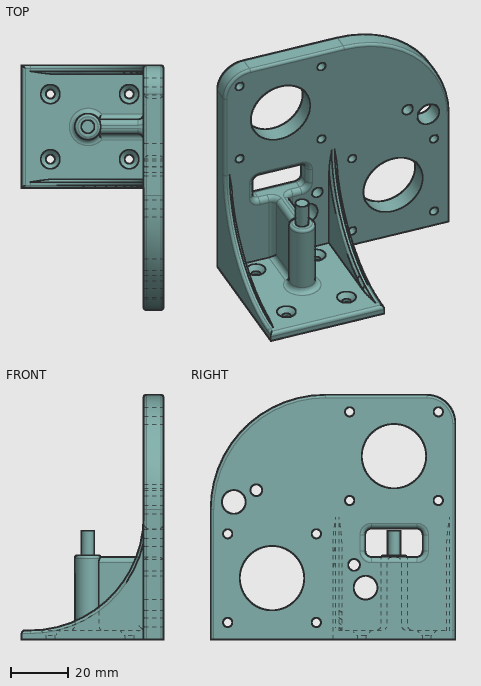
import cadquery as cq
import math


length = 49.5
plate_size = 85.4
plate_thickness = 7.0
small_corner_radius = 10.0
large_corner_radius = 40.0
edge_round = 1.0

foot_width = 42.9
foot_thickness = 3.25
foot_end_round = 1.3
foot_length = length - plate_thickness

gusset_thickness = 3.2
gusset_lip = 3.1
gusset_radius = foot_length - gusset_lip
gusset_overlap = 1.7

post_x = 23.15
post_diameter = 9.1
post_top = 29.5
pin_diameter = 4.6
pin_top = 38.0

web_thickness = 5.0
web_top = 28.9
blend_radius = 2.0

window_width = 19.9
window_height = 9.8
window_corner_radius = 2.05

bore_diameter = 22.4
bore_inset = 21.4
screw_diameter = 3.2
screw_half_pitch = 15.5
cable_hole_diameter = 8.2
cable_holes = [(-77.3, 48.0), (-31.3, 18.1)]
pilot_hole_diameter = 4.0
pilot_holes = [(-69.4, 52.1), (-35.35, 26.05)]

foot_screw_diameter = 3.1
countersink_diameter = 6.7
countersink_angle = 90
foot_screw_center_x = 23.8
foot_screw_pitch_x = 27.5
foot_screw_pitch_y = 22.7

selection_margin = 0.1

foot_center_y = -foot_width / 2
bore_centers = [
    (-bore_inset, plate_size - bore_inset),
    (bore_inset - plate_size, bore_inset),
]


def make_plate():
    """Upright plate with one small and one large upper corner."""
    small_shift = small_corner_radius * (1 - math.sqrt(0.5))
    large_shift = large_corner_radius * (1 - math.sqrt(0.5))
    plate = (
        cq.Workplane("YZ", origin=(foot_length, 0, 0))
        .moveTo(0, 0)
        .lineTo(0, plate_size - small_corner_radius)
        .threePointArc((-small_shift, plate_size - small_shift), (-small_corner_radius, plate_size))
        .lineTo(large_corner_radius - plate_size, plate_size)
        .threePointArc(
            (large_shift - plate_size, plate_size - large_shift),
            (-plate_size, plate_size - large_corner_radius),
        )
        .lineTo(-plate_size, 0)
        .close()
        .extrude(plate_thickness)
    )
    return plate.faces("<X or >X").edges("not(<Z)").fillet(edge_round)


def make_foot():
    """Flat foot; the gussets form its outer side edges."""
    inner_width = foot_width - 2 * edge_round
    foot = cq.Workplane("XY").box(
        foot_length + gusset_overlap, inner_width, foot_thickness, centered=(False, True, False)
    )
    return foot.translate((0, foot_center_y, 0))


def round_foot_end(body):
    """Round the upper edge of the free end across the foot and both gussets."""
    bend = foot_end_round * (1 - math.sqrt(0.5))
    corner = (
        cq.Workplane("XZ")
        .moveTo(0, foot_thickness - foot_end_round)
        .threePointArc((bend, foot_thickness - bend), (foot_end_round, foot_thickness))
        .lineTo(0, foot_thickness)
        .close()
        .extrude(foot_width)
    )
    return body.cut(corner)


def make_gusset(outer_y):
    """Concave gusset with both edges of its curved top rounded; outer_y is its +Y side."""
    center_z = foot_thickness + gusset_radius
    reach = gusset_radius * math.sqrt(0.5)
    gusset = (
        cq.Workplane("XZ", origin=(0, outer_y, 0))
        .lineTo(0, foot_thickness)
        .lineTo(gusset_lip, foot_thickness)
        .threePointArc((gusset_lip + reach, center_z - reach), (foot_length, center_z))
        .lineTo(foot_length + gusset_overlap, center_z)
        .lineTo(foot_length + gusset_overlap, 0)
        .close()
        .extrude(gusset_thickness)
    )
    return gusset.edges("%CIRCLE").fillet(edge_round)


def make_web():
    """Plain web from the post axis to the plate."""
    web = cq.Workplane("XY").box(
        foot_length - post_x, web_thickness, web_top, centered=(False, True, False)
    )
    return web.translate((post_x, foot_center_y, 0))


def make_web_flare():
    """Concave flare along both sides of the web where it meets the foot."""
    half = web_thickness / 2
    toe = half + blend_radius
    bend = blend_radius * (1 - math.sqrt(0.5))
    flare_top = foot_thickness + blend_radius
    return (
        cq.Workplane("YZ", origin=(post_x, foot_center_y, 0))
        .moveTo(-toe, foot_thickness)
        .threePointArc((-half - bend, foot_thickness + bend), (-half, flare_top))
        .lineTo(half, flare_top)
        .threePointArc((half + bend, foot_thickness + bend), (toe, foot_thickness))
        .close()
        .extrude(foot_length - post_x)
    )


def make_post():
    """Turned post with a flared base, rounded shoulder and a thinner pin."""
    radius = post_diameter / 2
    bend = blend_radius * (1 - math.sqrt(0.5))
    shoulder_bend = edge_round * (1 - math.sqrt(0.5))
    return (
        cq.Workplane("XZ", origin=(post_x, foot_center_y, 0))
        .lineTo(radius + blend_radius, 0)
        .lineTo(radius + blend_radius, foot_thickness)
        .threePointArc(
            (radius + bend, foot_thickness + bend), (radius, foot_thickness + blend_radius)
        )
        .lineTo(radius, post_top - edge_round)
        .threePointArc(
            (radius - shoulder_bend, post_top - shoulder_bend), (radius - edge_round, post_top)
        )
        .lineTo(pin_diameter / 2, post_top)
        .lineTo(pin_diameter / 2, pin_top)
        .lineTo(0, pin_top)
        .close()
        .revolve(360, (0, 0), (0, 1))
    )


def cut_window(body):
    """Cut the rounded window whose sill is level with the top of the web."""
    window = (
        cq.Workplane("XY")
        .box(plate_thickness, window_width, window_height, centered=(False, True, False))
        .edges("|X")
        .fillet(window_corner_radius)
        .translate((foot_length, foot_center_y, web_top))
    )
    body = body.cut(window)
    far_rim = cq.selectors.BoxSelector(
        (length - edge_round / 2, -foot_width, web_top - edge_round),
        (length + edge_round, 0, web_top + window_height + edge_round),
    )
    return body.edges("#X").edges(far_rim).fillet(blend_radius)


def blend_web(body):
    """Blend the web into the plate, then round the web top and window rim as one chain."""
    half_web = web_thickness / 2 + selection_margin
    corners = cq.selectors.BoxSelector(
        (foot_length - selection_margin, foot_center_y - half_web, 0),
        (foot_length + selection_margin, foot_center_y + half_web, web_top),
    )
    body = body.edges("|Z").edges(corners).fillet(blend_radius)
    rim_top = cq.selectors.BoxSelector(
        (foot_length - selection_margin, -foot_width, web_top + window_height - selection_margin),
        (foot_length + selection_margin, 0, web_top + window_height + selection_margin),
    )
    return body.edges("|Y").edges(rim_top).fillet(blend_radius)


def cut_plate_holes(body, centers, diameter):
    """Drill holes through the plate at (y, z) centers."""
    drills = (
        cq.Workplane("YZ", origin=(foot_length, 0, 0))
        .pushPoints(centers)
        .circle(diameter / 2)
        .extrude(plate_thickness)
    )
    return body.cut(drills)


def cut_foot_screws(body):
    """Drill four countersunk screw holes through the foot."""
    return (
        body.copyWorkplane(
            cq.Workplane("XY", origin=(foot_screw_center_x, foot_center_y, foot_thickness))
        )
        .rarray(foot_screw_pitch_x, foot_screw_pitch_y, 2, 2)
        .cskHole(foot_screw_diameter, countersink_diameter, countersink_angle, foot_thickness)
    )


result = blend_web(cut_window(make_plate()).union(make_web()))
result = result.union(make_foot()).union(make_web_flare()).union(make_post())
for gusset_y in (0, gusset_thickness - foot_width):
    result = result.union(make_gusset(gusset_y))
result = round_foot_end(result)

screw_centers = [
    (y + side_y * screw_half_pitch, z + side_z * screw_half_pitch)
    for y, z in bore_centers
    for side_y in (-1, 1)
    for side_z in (-1, 1)
]
result = cut_plate_holes(result, bore_centers, bore_diameter)
result = cut_plate_holes(result, screw_centers, screw_diameter)
result = cut_plate_holes(result, cable_holes, cable_hole_diameter)
result = cut_plate_holes(result, pilot_holes, pilot_hole_diameter)
result = cut_foot_screws(result)